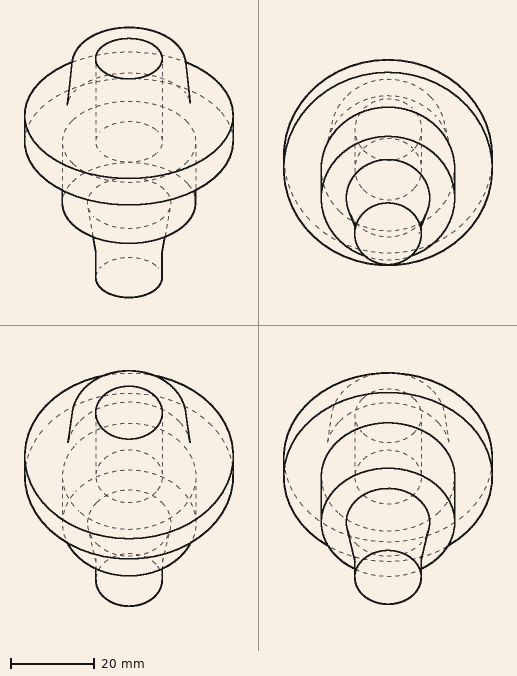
import cadquery as cq
import math

total_height = 66.0
tip_height = 8.0
cone_height = 14.5
body_height = 18.5
flange_height = 8.0

bore_diameter = 16.0
tip_diameter = bore_diameter
cone_top_diameter = 20.0
body_diameter = 32.0
flange_diameter = 50.0

hub_base_diameter = 30.0
hub_draft_angle = 5.0
hub_base_fillet = 3.0
hub_rim_fillet = 2.0

cone_bottom = tip_height
body_bottom = cone_bottom + cone_height
flange_bottom = body_bottom + body_height
flange_top = flange_bottom + flange_height
hub_height = total_height - flange_top
bore_depth = hub_height + flange_height

hub_base_radius = hub_base_diameter / 2
hub_top_radius = hub_base_radius - hub_height * math.tan(math.radians(hub_draft_angle))

profile = [
    (0, 0),
    (tip_diameter / 2, 0),
    (tip_diameter / 2, cone_bottom),
    (cone_top_diameter / 2, body_bottom),
    (body_diameter / 2, body_bottom),
    (body_diameter / 2, flange_bottom),
    (flange_diameter / 2, flange_bottom),
    (flange_diameter / 2, flange_top),
    (hub_base_radius, flange_top),
    (hub_top_radius, total_height),
    (0, total_height),
]
turned = cq.Workplane("XZ").polyline(profile).close().revolve(360, (0, 0), (0, 1))

turned = turned.faces(">Z").edges().fillet(hub_rim_fillet)
smallest_circle = cq.selectors.RadiusNthSelector(0)
turned = turned.faces("|Z").faces(">Z[-2]").edges(smallest_circle).fillet(hub_base_fillet)

result = turned.faces(">Z").workplane().hole(bore_diameter, bore_depth)